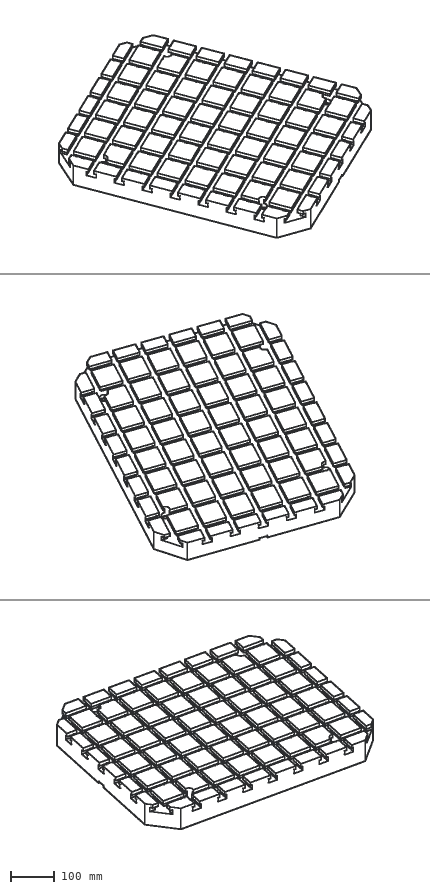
import cadquery as cq

length = 630.0
width = 500.0
height = 60.0
corner_chamfer = 60.5

slots_across_x = 9
slots_across_y = 7
slot_pitch = length / slots_across_x
neck_width = 14.0
head_width = 24.0
slot_depth = 20.0
head_height = 11.0

hole_offset = 200.0
bore_diameter = 14.5
counterbore_diameter = 20.0
counterbore_depth = 31.5

keyway_width = 20.0
keyway_height = 5.0
keyway_length = 40.0


def slot_centres(count):
    """Evenly spaced slot positions, symmetric about the plate centre."""
    return [(i - (count - 1) / 2) * slot_pitch for i in range(count)]


def slot_bar(plane, run, position, bar_width, bar_height):
    """A bar of the given section lying on the slot floor, running across the plate."""
    slot_floor = height - slot_depth
    section = cq.Workplane(plane).center(position, slot_floor + bar_height / 2).rect(bar_width, bar_height)
    return section.extrude(run / 2, both=True)


def t_slot(plane, run, position):
    """A T-slot open at the top face and running the full length of the plate."""
    neck = slot_bar(plane, run, position, neck_width, slot_depth)
    head = slot_bar(plane, run, position, head_width, head_height)
    return neck.union(head)


def keyway(end):
    """A shallow blind keyway in the underside; end is -1 or 1 along X."""
    centre_x = end * (length - keyway_length) / 2
    return cq.Workplane("XY").center(centre_x, 0).rect(keyway_length, keyway_width).extrude(keyway_height)


plate = cq.Workplane("XY").rect(length, width).extrude(height)
plate = plate.edges("|Z").chamfer(corner_chamfer)

for x in slot_centres(slots_across_x):
    plate = plate.cut(t_slot("XZ", width, x))
for y in slot_centres(slots_across_y):
    plate = plate.cut(t_slot("YZ", length, y))

hole_positions = cq.Workplane("XY").rect(2 * hole_offset, 2 * hole_offset, forConstruction=True).vertices()
bores = hole_positions.circle(bore_diameter / 2).extrude(height)
counterbores = hole_positions.circle(counterbore_diameter / 2).extrude(counterbore_depth)
plate = plate.cut(bores)
plate = plate.cut(counterbores.translate((0, 0, height - counterbore_depth)))

for end in (-1, 1):
    plate = plate.cut(keyway(end))

solids = plate.solids().vals()
result = cq.Workplane(max(solids, key=lambda solid: solid.Volume()))